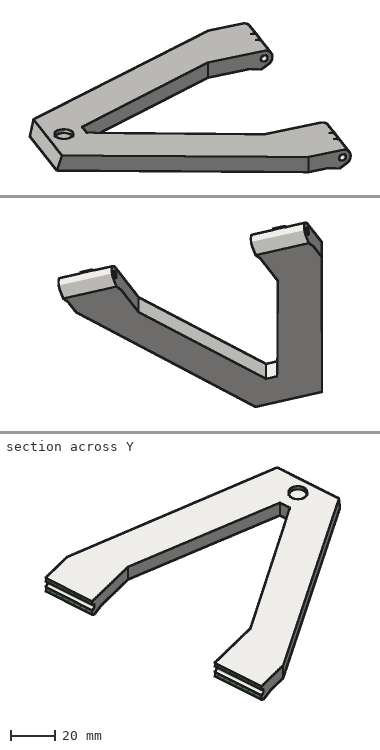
import cadquery as cq
import math

length = 125.1
width = 120.0
thickness = 8.0
end_bevel_angle = 15.0

leg_width = 26.0
front_half_width = 16.3
outer_bend_y = 104.4
inner_bend_y = 93.7
crotch_y = 20.0
crotch_half_width = 2.8

socket_diameter = 8.5
socket_depth = 2.0
socket_y = 10.0

knuckle_radius = thickness / 2
pin_diameter = 3.3
heel_drop = 1.5
nose_angle = 30.0
heel_ramp_angle = 15.0

tab_width = 5.8
tab_back_gap = 1.8

half_width = width / 2
leg_inner_x = half_width - leg_width
leg_center_x = half_width - leg_width / 2
pin_y = length - knuckle_radius
pin_z = thickness / 2


def make_plate():
    """V-shaped plate whose bottom face lies on Z = 0, with a sloped front end."""
    right_side = [
        (front_half_width, 0),
        (half_width, outer_bend_y),
        (half_width, pin_y),
        (leg_inner_x, pin_y),
        (leg_inner_x, inner_bend_y),
        (crotch_half_width, crotch_y),
    ]
    left_side = [(-x, y) for x, y in reversed(right_side)]
    plate = cq.Workplane("XY").polyline(right_side + left_side).close().extrude(thickness)

    setback = thickness * math.tan(math.radians(end_bevel_angle))
    bevel = (
        cq.Workplane("YZ")
        .polyline([(0, 0), (setback, thickness), (0, thickness)])
        .close()
        .extrude(half_width, both=True)
    )
    return plate.cut(bevel)


def make_knuckle(center_x):
    """Rounded leg end with a pointed heel that drops below the plate."""
    nose = math.radians(nose_angle)
    tangent_y = pin_y + knuckle_radius * math.sin(nose)
    tangent_z = pin_z - knuckle_radius * math.cos(nose)
    heel_y = tangent_y - (tangent_z + heel_drop) / math.tan(nose)
    ramp_start_y = heel_y - heel_drop / math.tan(math.radians(heel_ramp_angle))

    knuckle = (
        cq.Workplane("YZ", origin=(center_x, 0, 0))
        .moveTo(ramp_start_y, 0)
        .lineTo(ramp_start_y, thickness)
        .lineTo(pin_y, thickness)
        .threePointArc((length, pin_z), (tangent_y, tangent_z))
        .lineTo(heel_y, -heel_drop)
        .close()
        .extrude(leg_width / 2, both=True)
    )
    tab_length = knuckle_radius - tab_back_gap
    tab = cq.Workplane("XY").box(
        tab_width, tab_length, thickness - pin_z, centered=(True, False, False)
    )
    return knuckle.union(tab.translate((center_x, pin_y, pin_z)))


result = make_plate()
for side in (-1, 1):
    result = result.union(make_knuckle(side * leg_center_x))

pin_hole = (
    cq.Workplane("YZ")
    .center(pin_y, pin_z)
    .circle(pin_diameter / 2)
    .extrude(half_width, both=True)
)
socket = (
    cq.Workplane("XY", origin=(0, socket_y, thickness - socket_depth))
    .circle(socket_diameter / 2)
    .extrude(socket_depth)
)
result = result.cut(pin_hole).cut(socket)